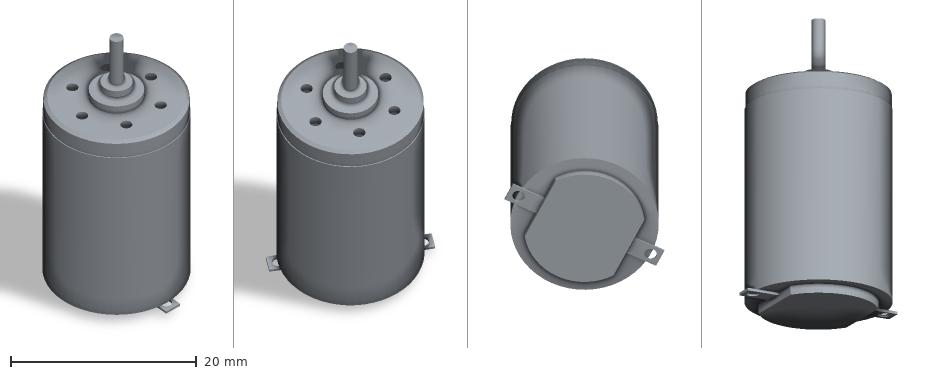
import cadquery as cq
import math

TOTAL_LENGTH = 32.9
TAB_SPAN = 18.2

END_CAP_DIAMETER = 13.03
END_CAP_HEIGHT = 1.02
END_CAP_FLAT_SPAN = 10.65

CAN_DIAMETER = 16.0
CAN_HEIGHT = 21.65
COVER_DIAMETER = 15.8
COVER_HEIGHT = 2.15
COVER_CHAMFER_HEIGHT = 0.25
COVER_CHAMFER_WIDTH = 0.43

BOSS_DIAMETER = 6.0
BOSS_HEIGHT = 1.0
NECK_DIAMETER = 2.9
NECK_HEIGHT = 0.3
COLLAR_DIAMETER = 3.5
COLLAR_HEIGHT = 0.8
SHAFT_DIAMETER = 1.5

HOLE_COUNT = 6
HOLE_DIAMETER = 1.3
HOLE_CIRCLE_RADIUS = 5.0
HOLE_STRAIGHT_DEPTH = 1.0
DRILL_POINT_ANGLE = 118.0
FIRST_HOLE_ANGLE = 90.0

TAB_WIDTH = 2.0
TAB_THICKNESS = 0.3
TAB_HOLE_DIAMETER = 1.3
TAB_HOLE_EDGE_MARGIN = 0.5

COVER_TOP = CAN_HEIGHT + COVER_HEIGHT
BOSS_TOP = COVER_TOP + BOSS_HEIGHT
NECK_TOP = BOSS_TOP + NECK_HEIGHT
COLLAR_TOP = NECK_TOP + COLLAR_HEIGHT
SHAFT_TOP = TOTAL_LENGTH - END_CAP_HEIGHT


def turned_body():
    """Can, cover, boss, neck, collar and shaft as one revolved profile."""
    can_radius = CAN_DIAMETER / 2
    cover_radius = COVER_DIAMETER / 2
    profile = [
        (0, 0),
        (can_radius, 0),
        (can_radius, CAN_HEIGHT),
        (cover_radius, CAN_HEIGHT),
        (cover_radius, COVER_TOP - COVER_CHAMFER_HEIGHT),
        (cover_radius - COVER_CHAMFER_WIDTH, COVER_TOP),
        (BOSS_DIAMETER / 2, COVER_TOP),
        (BOSS_DIAMETER / 2, BOSS_TOP),
        (NECK_DIAMETER / 2, BOSS_TOP),
        (NECK_DIAMETER / 2, NECK_TOP),
        (COLLAR_DIAMETER / 2, NECK_TOP),
        (COLLAR_DIAMETER / 2, COLLAR_TOP),
        (SHAFT_DIAMETER / 2, COLLAR_TOP),
        (SHAFT_DIAMETER / 2, SHAFT_TOP),
        (0, SHAFT_TOP),
    ]
    return cq.Workplane("XZ").polyline(profile).close().revolve(360, (0, 0), (0, 1))


def end_cap():
    """Rear disc trimmed by two flats perpendicular to X."""
    disc = cq.Workplane("XY").circle(END_CAP_DIAMETER / 2).extrude(-END_CAP_HEIGHT)
    flats = cq.Workplane("XY").rect(END_CAP_FLAT_SPAN, END_CAP_DIAMETER).extrude(-END_CAP_HEIGHT)
    return disc.intersect(flats)


def solder_tabs():
    """One strip through the end cap whose pierced ends form the two tabs."""
    hole_x = TAB_SPAN / 2 - TAB_HOLE_EDGE_MARGIN - TAB_HOLE_DIAMETER / 2
    strip = cq.Workplane("XY").rect(TAB_SPAN, TAB_WIDTH).extrude(-TAB_THICKNESS)
    holes = (
        cq.Workplane("XY")
        .pushPoints([(-hole_x, 0), (hole_x, 0)])
        .circle(TAB_HOLE_DIAMETER / 2)
        .extrude(-TAB_THICKNESS)
    )
    return strip.cut(holes)


def mounting_holes():
    """Ring of drilled blind holes to remove from the cover."""
    radius = HOLE_DIAMETER / 2
    shoulder = COVER_TOP - HOLE_STRAIGHT_DEPTH
    tip = shoulder - radius / math.tan(math.radians(DRILL_POINT_ANGLE / 2))
    drill = (
        cq.Workplane("XZ")
        .polyline([(0, COVER_TOP), (radius, COVER_TOP), (radius, shoulder), (0, tip)])
        .close()
        .revolve(360, (0, 0), (0, 1))
        .val()
    )
    ring = cq.Workplane("XY").polarArray(HOLE_CIRCLE_RADIUS, FIRST_HOLE_ANGLE, 360, HOLE_COUNT)
    return ring.eachpoint(lambda place: drill.moved(place), combine=False)


result = turned_body().union(end_cap()).union(solder_tabs()).cut(mounting_holes())